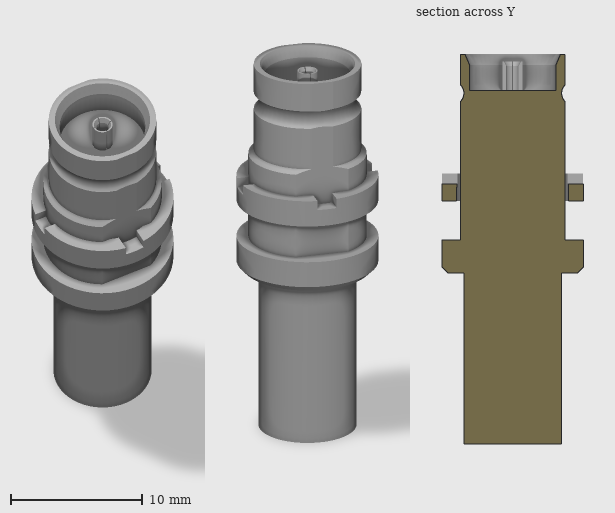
import cadquery as cq

total_height = 29.7
lower_flange_bottom = 13.05
lower_flange_top = 15.55
flange_chamfer = 0.48
nut_bottom = 18.5
nut_top = 20.58
collar_cone_bottom = 22.35
collar_cone_top = 22.7
groove_bottom = 26.02
groove_top = 27.45

stem_radius = 3.75
flange_radius = 5.4
collar_radius = 4.5
head_radius = 4.1
groove_depth = 0.35

flat_distance = 4.0
nut_bore_radius = 4.25
notch_width = 1.5
notch_depth = 0.75
notch_count = 4

socket_mouth_radius = 3.62
socket_radius = 3.27
socket_taper_depth = 0.83
socket_depth = 2.73
socket_floor = total_height - socket_depth
pin_radius = 0.77
pin_top = total_height - 0.55
pin_mouth_radius = 0.65
pin_mouth_depth = 0.35
pin_bore_radius = 0.48
pin_slot_width = 0.1


def cylinder(radius, bottom, top):
    return cq.Workplane("XY").workplane(offset=bottom).circle(radius).extrude(top - bottom)


def cone(bottom_radius, top_radius, bottom, top):
    """Truncated cone about the Z axis."""
    return cq.Workplane(
        cq.Solid.makeCone(bottom_radius, top_radius, top - bottom, pnt=cq.Vector(0, 0, bottom))
    )


def flatted_body():
    """Collar and head with a rounded groove, flattened on both X sides."""
    groove_middle = (groove_bottom + groove_top) / 2
    body = (
        cq.Workplane("XZ")
        .moveTo(0, lower_flange_top)
        .lineTo(collar_radius, lower_flange_top)
        .lineTo(collar_radius, collar_cone_bottom)
        .lineTo(head_radius, collar_cone_top)
        .lineTo(head_radius, groove_bottom)
        .threePointArc((head_radius - groove_depth, groove_middle), (head_radius, groove_top))
        .lineTo(head_radius, total_height)
        .lineTo(0, total_height)
        .close()
        .revolve(360, (0, 0), (0, 1))
    )
    flat_block = cq.Workplane("XY").box(
        2 * flat_distance, 2 * flange_radius, total_height, centered=(True, True, False)
    )
    return body.intersect(flat_block)


def notched_nut():
    """Ring with equally spaced radial notches in its top face."""
    nut = cylinder(flange_radius, nut_bottom, nut_top)
    nut = nut.cut(cylinder(nut_bore_radius, nut_bottom, nut_top))
    for index in range(notch_count):
        notch = (
            cq.Workplane("XY")
            .workplane(offset=nut_top - notch_depth)
            .center(flange_radius / 2, 0)
            .rect(flange_radius, notch_width)
            .extrude(notch_depth)
            .rotate((0, 0, 0), (0, 0, 1), index * 360 / notch_count)
        )
        nut = nut.cut(notch)
    return nut


def socket():
    """Open space of the socket: a tapered mouth above a straight bore."""
    taper_bottom = total_height - socket_taper_depth
    bore = cylinder(socket_radius, socket_floor, total_height)
    return bore.union(cone(socket_radius, socket_mouth_radius, taper_bottom, total_height))


def contact_pin():
    """Hollow pin on the socket floor, split into four prongs."""
    pin = cylinder(pin_radius, socket_floor, pin_top)
    pin = pin.cut(cylinder(pin_bore_radius, socket_floor, pin_top))
    pin = pin.cut(cone(pin_bore_radius, pin_mouth_radius, pin_top - pin_mouth_depth, pin_top))
    slots = (
        cq.Workplane("XY")
        .workplane(offset=socket_floor)
        .rect(2 * pin_radius, pin_slot_width)
        .extrude(pin_top - socket_floor)
    )
    slots = slots.union(slots.rotate((0, 0, 0), (0, 0, 1), 90))
    return pin.cut(slots)


stem = cylinder(stem_radius, 0, lower_flange_bottom)
lower_flange = (
    cylinder(flange_radius, lower_flange_bottom, lower_flange_top)
    .faces("<Z")
    .chamfer(flange_chamfer)
)

result = (
    stem.union(lower_flange)
    .union(flatted_body())
    .union(notched_nut())
    .cut(socket())
    .union(contact_pin())
)